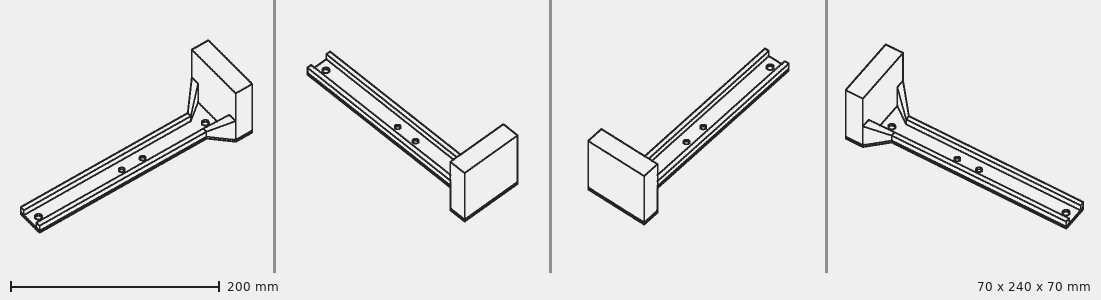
import cadquery as cq

total_length = 240.0
block_width = 70.0
block_height = 70.0
block_depth = 20.0

arm_width = 30.0
plate_thickness = 3.0
rail_width = 5.0
rail_height = 10.0

gusset_length = 20.0
gusset_height = 30.0
gusset_block_width = 10.0

end_hole_diameter = 7.2
end_hole_positions = (10.0, 210.0)
middle_hole_diameter = 6.0
middle_hole_positions = (110.0, 135.0)

block_front = total_length - block_depth
rail_length = block_front - gusset_length
half_block = block_width / 2
half_arm = arm_width / 2


def drill_holes(plate, diameter, positions):
    points = [(0, y) for y in positions]
    holes = cq.Workplane("XY").pushPoints(points).circle(diameter / 2).extrude(plate_thickness)
    return plate.cut(holes)


def make_base_plate():
    """Flat plate under all the other bodies, widening from the arm to the block."""
    right_side = [
        (half_arm, 0),
        (half_arm, rail_length),
        (half_block, block_front),
        (half_block, total_length),
    ]
    left_side = [(-x, y) for x, y in reversed(right_side)]
    plate = cq.Workplane("XY").polyline(right_side + left_side).close().extrude(plate_thickness)
    plate = drill_holes(plate, end_hole_diameter, end_hole_positions)
    return drill_holes(plate, middle_hole_diameter, middle_hole_positions)


def make_block():
    """Upright block standing on the wide end of the plate."""
    return (
        cq.Workplane("XY")
        .box(block_width, block_depth, block_height - plate_thickness, centered=(True, False, False))
        .translate((0, block_front, plate_thickness))
    )


def make_rail(side):
    """Straight rail on one edge of the arm; side is -1 or +1 along X."""
    return (
        cq.Workplane("XY")
        .box(rail_width, rail_length, rail_height - plate_thickness, centered=(True, False, False))
        .translate((side * (half_arm - rail_width / 2), 0, plate_thickness))
    )


def make_gusset(side):
    """Flared wall on one side, its top sloping from the block down to the rail."""
    footprint = [
        (side * half_arm, rail_length),
        (side * half_block, block_front),
        (side * (half_block - gusset_block_width), block_front),
        (side * (half_arm - rail_width), rail_length),
    ]
    wall = cq.Workplane("XY").polyline(footprint).close().extrude(gusset_height)
    side_profile = [
        (rail_length, plate_thickness),
        (block_front, plate_thickness),
        (block_front, gusset_height),
        (rail_length, rail_height),
    ]
    sloped_envelope = cq.Workplane("YZ").polyline(side_profile).close().extrude(half_block, both=True)
    return wall.intersect(sloped_envelope)


base_plate = make_base_plate()
block = make_block()
rails = [make_rail(side) for side in (-1, 1)]
gussets = [make_gusset(side) for side in (-1, 1)]

result = cq.Compound.makeCompound([
    base_plate.val(),
    block.val(),
    *[rail.val() for rail in rails],
    *[gusset.val() for gusset in gussets],
])